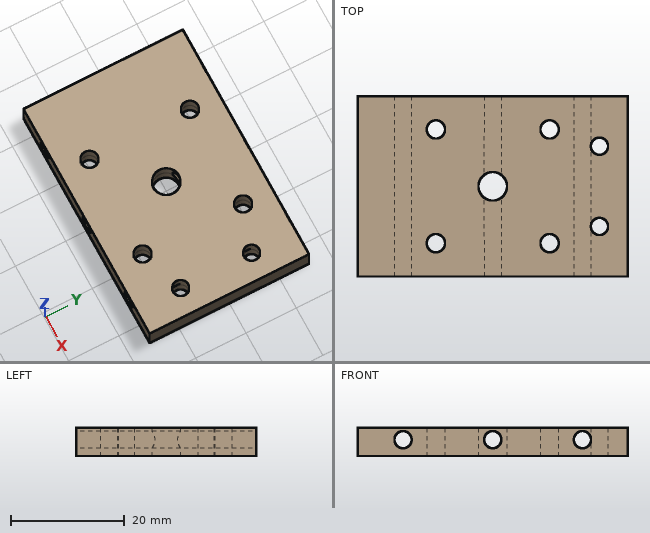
import cadquery as cq

length = 47.5
width = 31.75
thickness = 5.0

centre_hole_diameter = 5.0
mount_hole_diameter = 3.2
mount_hole_pitch = 20.0
end_hole_diameter = 3.0
end_hole_pitch = 14.1
end_hole_x = 18.75

cross_hole_diameter = 3.0
cross_hole_pitch = 15.75
cross_hole_count = 3
cross_hole_z = 0.4


def vertical_holes(diameter, points):
    """Cutting cylinders through the plate thickness at the given XY points."""
    return (
        cq.Workplane("XY")
        .pushPoints(points)
        .circle(diameter / 2)
        .extrude(thickness, both=True)
    )


def cross_holes():
    """Row of cutting cylinders along Y, slightly above the middle of the plate."""
    return (
        cq.Workplane("XZ")
        .center(0, cross_hole_z)
        .rarray(cross_hole_pitch, 0.48, cross_hole_count, 1)
        .circle(cross_hole_diameter / 2)
        .extrude(width, both=True)
    )


mount_points = [
    (x_side * mount_hole_pitch / 2, y_side * mount_hole_pitch / 2)
    for x_side in (-1, 1)
    for y_side in (-1, 1)
]
end_points = [(end_hole_x, y_side * end_hole_pitch / 2) for y_side in (-1, 1)]

plate = cq.Workplane("XY").box(length, width, thickness)
result = (
    plate
    .cut(vertical_holes(centre_hole_diameter, [(0, 0)]))
    .cut(vertical_holes(mount_hole_diameter, mount_points))
    .cut(vertical_holes(end_hole_diameter, end_points))
    .cut(cross_holes())
)